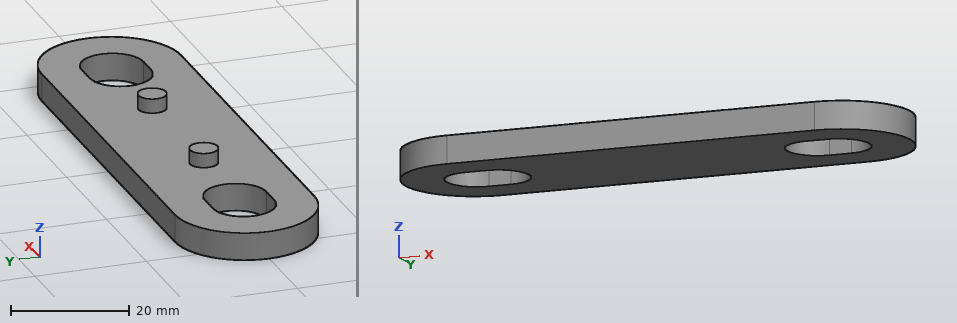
import cadquery as cq

plate_length = 92.0
plate_width = 25.0
plate_thickness = 5.0

slot_length = 15.0
slot_width = 11.0
slot_offset = 31.0

overall_height = 7.5
pin_diameter = 5.0
pin_offset = 13.0
pin_height = overall_height - plate_thickness


def mirrored_pair(offset):
    """Return two points on the X axis, symmetric about the plate centre."""
    return [(side * offset, 0) for side in (-1, 1)]


plate = cq.Workplane("XY").slot2D(plate_length, plate_width).extrude(plate_thickness)

slots = (
    cq.Workplane("XY")
    .pushPoints(mirrored_pair(slot_offset))
    .slot2D(slot_length, slot_width)
    .extrude(plate_thickness)
)

pins = (
    cq.Workplane("XY")
    .workplane(offset=plate_thickness)
    .pushPoints(mirrored_pair(pin_offset))
    .circle(pin_diameter / 2)
    .extrude(pin_height)
)

result = plate.cut(slots).union(pins)